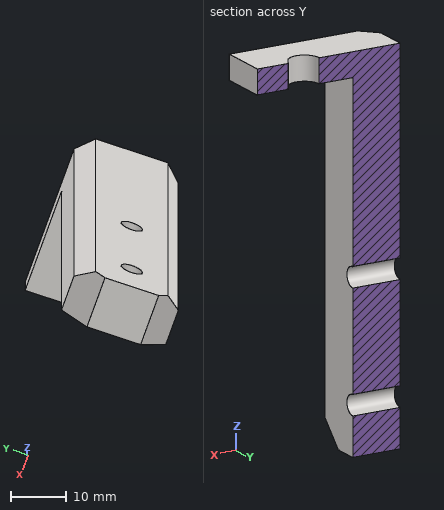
import cadquery as cq
import math

length = 30.0
width = 20.0
height = 77.3

post_thickness = 10.0
flange_thickness = 5.0

front_bevel = 3.1
foot_bevel = 4.9

flange_hole_diameter = 6.0
flange_hole_x = 20.0
flange_hole_tip = 3.4
post_hole_diameter = 4.0
post_hole_heights = (10.0, 34.3)
middle = width / 2


def bracket_body():
    """L-shaped profile: an upright post with a flange along its top."""
    return (
        cq.Workplane("XZ")
        .moveTo(0, 0)
        .lineTo(post_thickness, 0)
        .lineTo(post_thickness, height - flange_thickness)
        .lineTo(length, height - flange_thickness)
        .lineTo(length, height)
        .lineTo(0, height)
        .close()
        .extrude(-width)
    )


def post_holes():
    """Round holes passing through the post along X."""
    centers = [(middle, z) for z in post_hole_heights]
    return cq.Workplane("YZ").pushPoints(centers).circle(post_hole_diameter / 2).extrude(post_thickness)


def flange_hole():
    """Vertical round hole drawn out to a small point on its +X side."""
    radius = flange_hole_diameter / 2
    tangent_angle = math.acos(radius / flange_hole_tip)
    tangent_x = radius * math.cos(tangent_angle)
    tangent_y = radius * math.sin(tangent_angle)
    return (
        cq.Workplane("XY")
        .workplane(offset=height - flange_thickness)
        .center(flange_hole_x, middle)
        .moveTo(flange_hole_tip, 0)
        .lineTo(tangent_x, tangent_y)
        .threePointArc((-radius, 0), (tangent_x, -tangent_y))
        .close()
        .extrude(flange_thickness)
    )


def foot_corner(side_y, inward):
    """Triangular bar that slopes one lower corner of the post; inward is +1 or -1 along Y."""
    return (
        cq.Workplane("YZ")
        .moveTo(side_y, 0)
        .lineTo(side_y + inward * foot_bevel, 0)
        .lineTo(side_y, foot_bevel)
        .close()
        .extrude(post_thickness)
    )


body = bracket_body()
body = body.faces("<X").edges("|Z").chamfer(front_bevel)
body = body.cut(foot_corner(0, 1)).cut(foot_corner(width, -1))

result = body.cut(post_holes()).cut(flange_hole())